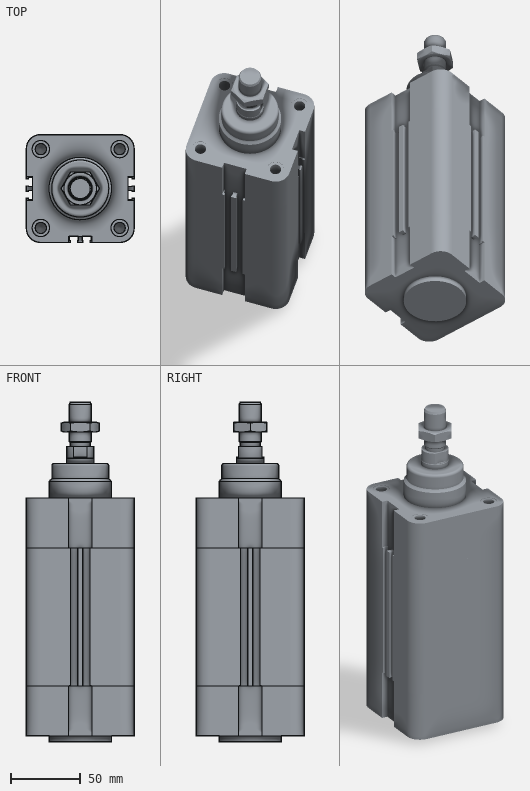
import cadquery as cq
import math

body_width = 77.5
corner_radius = 10.2
total_height = 244.0
cap_length = 35.9
barrel_length = 99.0
boss_diameter = 45.0
rear_boss_height = 4.5

rear_cap_bottom = rear_boss_height
barrel_bottom = rear_cap_bottom + cap_length
front_cap_bottom = barrel_bottom + barrel_length
front_cap_top = front_cap_bottom + cap_length

boss_base_height = 14.0
boss_chamfer = 2.0
collar_diameter = 41.0
boss_height = 25.0
collar_fillet = 2.0

slot_angles = (0, 90, -90)
slot_depth = 4.5
cap_slot_width = 17.0
groove_width = 15.5
lip_opening = 14.0
lip_thickness = 1.5
rail_head_width = 4.0
rail_stem_width = 3.0

hole_pitch = 56.5
hole_diameter = 8.0
hole_depth = 16.0
hole_point_angle = 118.0
hole_recess_diameter = 12.5
hole_recess_depth = 0.2

rod_diameter = 20.0
shank_diameter = 19.5
shank_edge_z = 204.0
shank_edge_height = 0.5
shank_top = 212.3
flats_width = 17.0
flats_bottom = 204.5
neck_diameter = 14.5
neck_top = 215.7
thread_diameter = 16.0
thread_chamfer = 0.85
thread_tip_height = 1.7

hexagon_sides = 6
nut_across_flats = 24.0
nut_bottom = 222.5
nut_height = 7.0
nut_chamfer_diameter = 23.5
nut_chamfer_angle = 20.0
nut_bore_chamfer = 0.5


def cylinder(diameter, bottom, top):
    """Cylinder on the Z axis between two heights."""
    return cq.Workplane("XY").workplane(offset=bottom).circle(diameter / 2).extrude(top - bottom)


def revolve_profile(points):
    """Full turn about the Z axis of a closed outline of (radius, height) points."""
    return cq.Workplane("XZ").polyline(points).close().revolve(360, (0, 0), (0, 1))


def square_block(bottom, length):
    """Square block with rounded upright edges."""
    block = cq.Workplane("XY").workplane(offset=bottom).rect(body_width, body_width).extrude(length)
    return block.edges("|Z").fillet(corner_radius)


def side_strip(width, inner, outer, bottom, length):
    """Upright strip on the -Y side, from the outer to the inner depth below the side face."""
    strip = cq.Workplane("XY").box(width, inner - outer, length, centered=(True, False, False))
    return strip.translate((0, -body_width / 2 + outer, bottom))


def cut_on_slot_sides(block, cutter):
    """Cut the same -Y side cutter into every side that has a slot."""
    for angle in slot_angles:
        block = block.cut(cutter.rotate((0, 0, 0), (0, 0, 1), angle))
    return block


def make_cap(bottom):
    """End cap block with a plain rectangular slot on three sides."""
    slot = side_strip(cap_slot_width, slot_depth, 0, bottom, cap_length)
    return cut_on_slot_sides(square_block(bottom, cap_length), slot)


def make_front_boss():
    """Chamfered base and rounded collar around the rod."""
    base_top = front_cap_top + boss_base_height
    base = cylinder(boss_diameter, front_cap_top, base_top).faces(">Z").edges().chamfer(boss_chamfer)
    collar = cylinder(collar_diameter, front_cap_top, front_cap_top + boss_height)
    return base.union(collar.faces(">Z").edges().fillet(collar_fillet))


def make_mounting_hole():
    """Cutter for one drilled hole with a shallow recess at its mouth, with its mouth at Z = 0."""
    radius = hole_diameter / 2
    point_depth = radius / math.tan(math.radians(hole_point_angle / 2))
    profile = [
        (0, 0),
        (hole_recess_diameter / 2, 0),
        (hole_recess_diameter / 2, -hole_recess_depth),
        (radius, -hole_recess_depth),
        (radius, -hole_depth),
        (0, -hole_depth - point_depth),
    ]
    return revolve_profile(profile)


def make_front_cap():
    """Front cap with its boss, rod bore and four mounting holes."""
    cap = make_cap(front_cap_bottom).union(make_front_boss())
    cap = cap.cut(cylinder(rod_diameter, front_cap_bottom, front_cap_top + boss_height))
    hole = make_mounting_hole()
    for x in (-hole_pitch / 2, hole_pitch / 2):
        for y in (-hole_pitch / 2, hole_pitch / 2):
            cap = cap.cut(hole.translate((x, y, front_cap_top)))
    return cap


def make_barrel():
    """Barrel with a lipped groove and a T-shaped middle rail on three sides."""
    opening = side_strip(lip_opening, slot_depth, 0, barrel_bottom, barrel_length)
    groove = side_strip(groove_width, slot_depth, lip_thickness, barrel_bottom, barrel_length)
    rail_stem = side_strip(rail_stem_width, slot_depth, 0, barrel_bottom, barrel_length)
    rail_head = side_strip(rail_head_width, lip_thickness, 0, barrel_bottom, barrel_length)
    groove_space = opening.union(groove).cut(rail_stem).cut(rail_head)
    return cut_on_slot_sides(square_block(barrel_bottom, barrel_length), groove_space)


def make_rear_cap():
    """Rear cap with a plain centring boss below it."""
    return make_cap(rear_cap_bottom).union(cylinder(boss_diameter, 0, rear_cap_bottom))


def make_rod():
    """Stepped rod with two wrench flats, an undercut neck and a plain end in place of its thread."""
    thread_radius = thread_diameter / 2
    profile = [
        (0, front_cap_bottom),
        (rod_diameter / 2, front_cap_bottom),
        (rod_diameter / 2, shank_edge_z - shank_edge_height),
        (shank_diameter / 2, shank_edge_z),
        (shank_diameter / 2, shank_top),
        (neck_diameter / 2, shank_top),
        (neck_diameter / 2, neck_top - thread_chamfer),
        (thread_radius, neck_top),
        (thread_radius, total_height - thread_tip_height),
        (thread_radius - thread_chamfer, total_height),
        (0, total_height),
    ]
    rod = revolve_profile(profile)
    for side in (-1, 1):
        rod = rod.cut(make_flat_cutter(side))
    return rod


def make_flat_cutter(side):
    """Cutter for one wrench flat, on the -Y side (-1) or the +Y side (1) of the shank."""
    cutter = cq.Workplane("XY").workplane(offset=flats_bottom).rect(rod_diameter, rod_diameter)
    cutter = cutter.extrude(shank_top - flats_bottom)
    return cutter.translate((0, side * (flats_width + rod_diameter) / 2, 0))


def make_nut():
    """Hexagon nut with corners on the X axis, cone-chamfered on both faces."""
    across_corners = nut_across_flats / math.cos(math.pi / hexagon_sides)
    nut_top = nut_bottom + nut_height
    hexagon = cq.Workplane("XY").workplane(offset=nut_bottom).polygon(hexagon_sides, across_corners)
    nut_radius = across_corners / 2
    face_radius = nut_chamfer_diameter / 2
    drop = (nut_radius - face_radius) * math.tan(math.radians(nut_chamfer_angle))
    envelope_profile = [
        (0, nut_bottom),
        (face_radius, nut_bottom),
        (nut_radius, nut_bottom + drop),
        (nut_radius, nut_top - drop),
        (face_radius, nut_top),
        (0, nut_top),
    ]
    return revolve_profile(envelope_profile).intersect(hexagon.extrude(nut_height)).cut(make_nut_bore())


def make_nut_bore():
    """Cutter for the nut bore with a chamfered mouth at both ends."""
    nut_top = nut_bottom + nut_height
    bore_radius = thread_diameter / 2
    mouth_radius = bore_radius + nut_bore_chamfer
    profile = [
        (0, nut_bottom),
        (mouth_radius, nut_bottom),
        (bore_radius, nut_bottom + nut_bore_chamfer),
        (bore_radius, nut_top - nut_bore_chamfer),
        (mouth_radius, nut_top),
        (0, nut_top),
    ]
    return revolve_profile(profile)


front_cap = make_front_cap()
barrel = make_barrel()
rear_cap = make_rear_cap()
rod = make_rod()
nut = make_nut()

result = cq.Compound.makeCompound([front_cap.val(), barrel.val(), rear_cap.val(), rod.val(), nut.val()])